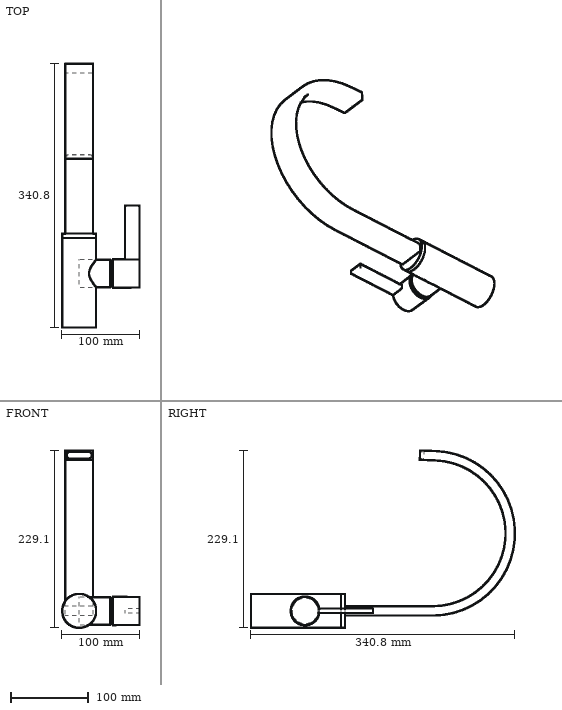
import cadquery as cq
import math

housing_radius = 22.0
housing_length = 116.0
cap_length = 5.5
cap_top = housing_length + cap_length

spout_width = 36.0
spout_thickness = 12.4
spout_edge_fillet = 0.4
bend_radius = 100.12
spout_reach = 340.79
bend_start = spout_reach - bend_radius - spout_thickness / 2
tip_rise_angle = math.radians(2.0)
tip_length = 20.0

outlet_width = 32.0
outlet_height = 8.5
outlet_corner = 3.5
outlet_depth = 5.0

stem_y = 69.9
stem_radius = 17.9
stem_end = 41.0
stem_chamfer = 1.0
neck_radius = 16.5

handle_start = 43.5
handle_end = 78.02
handle_inner_radius = 18.6
handle_outer_radius = 18.2
handle_fillet = 1.0
lever_width = 19.0
lever_thickness = 6.0
lever_end = 157.7
lever_fillet = 1.0


def cylinder_along_y(radius, start, length):
    return cq.Workplane("XZ", origin=(0, start, 0)).circle(radius).extrude(-length)


def bend_point(radius, angle):
    """Point (y, z) on the bend, with the angle measured from the start of the bend."""
    return (bend_start + radius * math.sin(angle), bend_radius - radius * math.cos(angle))


def tip_point(radius, distance):
    """Point (y, z) on the straight tip, at a distance past the end of the bend."""
    y, z = bend_point(radius, math.pi - tip_rise_angle)
    return (y - distance * math.cos(tip_rise_angle), z + distance * math.sin(tip_rise_angle))


def make_spout_bar():
    outer = bend_radius + spout_thickness / 2
    inner = bend_radius - spout_thickness / 2
    bend_end = math.pi - tip_rise_angle
    bar = (
        cq.Workplane("YZ", origin=(-spout_width / 2, 0, 0))
        .moveTo(cap_top, -spout_thickness / 2)
        .lineTo(*bend_point(outer, 0))
        .threePointArc(bend_point(outer, math.pi / 2), bend_point(outer, bend_end))
        .lineTo(*tip_point(outer, tip_length))
        .lineTo(*tip_point(inner, tip_length))
        .lineTo(*tip_point(inner, 0))
        .threePointArc(bend_point(inner, math.pi / 2), bend_point(inner, 0))
        .lineTo(cap_top, spout_thickness / 2)
        .close()
        .extrude(spout_width)
    )
    long_edge_limit = (spout_thickness + tip_length) / 2
    side_edges = bar.faces("|X").edges()
    long_edges = side_edges.filter(lambda edge: edge.Length() > long_edge_limit)
    return long_edges.fillet(spout_edge_fillet)


def make_outlet():
    y, z = tip_point(bend_radius, tip_length)
    into_tip = (0, math.cos(tip_rise_angle), -math.sin(tip_rise_angle))
    end_face = cq.Plane(origin=(0, y, z), xDir=(1, 0, 0), normal=into_tip)
    along_tip = cq.selectors.ParallelDirSelector(end_face.zDir)
    plate = cq.Workplane(end_face).rect(outlet_width, outlet_height).extrude(outlet_depth)
    return plate.edges(along_tip).fillet(outlet_corner)


def make_stem():
    return (
        cq.Workplane("XY", origin=(0, stem_y, 0))
        .lineTo(0, stem_radius)
        .lineTo(stem_end - stem_chamfer, stem_radius)
        .lineTo(stem_end, stem_radius - stem_chamfer)
        .lineTo(stem_end, neck_radius)
        .lineTo(handle_start, neck_radius)
        .lineTo(handle_start, 0)
        .close()
        .revolve(360, (0, 0, 0), (1, 0, 0))
    )


def make_handle():
    knob = (
        cq.Workplane("XY", origin=(0, stem_y, 0))
        .moveTo(handle_start, 0)
        .lineTo(handle_start, handle_inner_radius)
        .lineTo(handle_end, handle_outer_radius)
        .lineTo(handle_end, 0)
        .close()
        .revolve(360, (0, 0, 0), (1, 0, 0))
        .faces(">X")
        .edges()
        .fillet(handle_fillet)
    )
    lever = (
        cq.Workplane("XY")
        .box(lever_width, lever_end - stem_y, lever_thickness, centered=False)
        .translate((handle_end - lever_width, stem_y, -lever_thickness / 2))
        .faces("|Z")
        .edges()
        .fillet(lever_fillet)
    )
    return knob.union(lever)


stem = make_stem()
housing = cylinder_along_y(housing_radius, 0, housing_length).cut(stem)
cap = cylinder_along_y(housing_radius, housing_length, cap_length)
outlet = make_outlet()
spout = make_spout_bar().cut(outlet)
handle = make_handle()

bodies = [housing, cap, spout, outlet, stem, handle]
result = cq.Compound.makeCompound([body.val() for body in bodies])